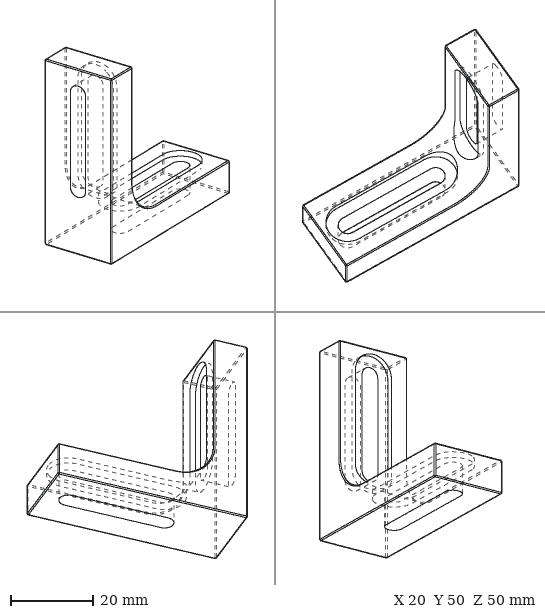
import cadquery as cq

width = 20.0
leg_length = 50.0
leg_thickness = 8.9
inner_radius = 10.0
edge_chamfer = 0.3

slot_width = 4.6
slot_length = 30.0
recess_width = 10.6
recess_length = 36.0
recess_depth = 1.5
slot_centre = 30.5


def bracket_body():
    """L-shaped body with a rounded inner corner and chamfered edges."""
    bend_end = leg_thickness + inner_radius
    arc_offset = inner_radius * (1 - 0.5 ** 0.5)
    arc_middle = leg_thickness + arc_offset
    profile = (
        cq.Workplane("YZ", origin=(-width / 2, 0, 0))
        .lineTo(leg_length, 0)
        .lineTo(leg_length, leg_thickness)
        .lineTo(bend_end, leg_thickness)
        .threePointArc((arc_middle, arc_middle), (leg_thickness, bend_end))
        .lineTo(leg_thickness, leg_length)
        .lineTo(0, leg_length)
        .close()
    )
    body = profile.extrude(width)
    bend_seams = cq.selectors.BoxSelector(
        (-width / 4, leg_thickness / 2, leg_thickness / 2),
        (width / 4, bend_end + leg_thickness / 2, bend_end + leg_thickness / 2),
    )
    all_edges = cq.selectors.BoxSelector(
        (-width, -leg_length, -leg_length),
        (width, 2 * leg_length, 2 * leg_length),
    )
    return body.edges(all_edges - bend_seams).chamfer(edge_chamfer)


def stepped_slot():
    """Cutter for the horizontal leg: through slot plus a recess open to the inner side."""
    through_slot = (
        cq.Workplane("XY")
        .center(0, slot_centre)
        .slot2D(slot_length, slot_width, 90)
        .extrude(leg_thickness + inner_radius)
    )
    recess = (
        cq.Workplane("XY", origin=(0, slot_centre, leg_thickness - recess_depth))
        .slot2D(recess_length, recess_width, 90)
        .extrude(recess_depth + inner_radius)
    )
    return through_slot.union(recess)


horizontal_slot = stepped_slot()
upright_slot = horizontal_slot.rotate((0, 0, 0), (0, 1, 1), 180)

result = bracket_body().cut(horizontal_slot).cut(upright_slot)